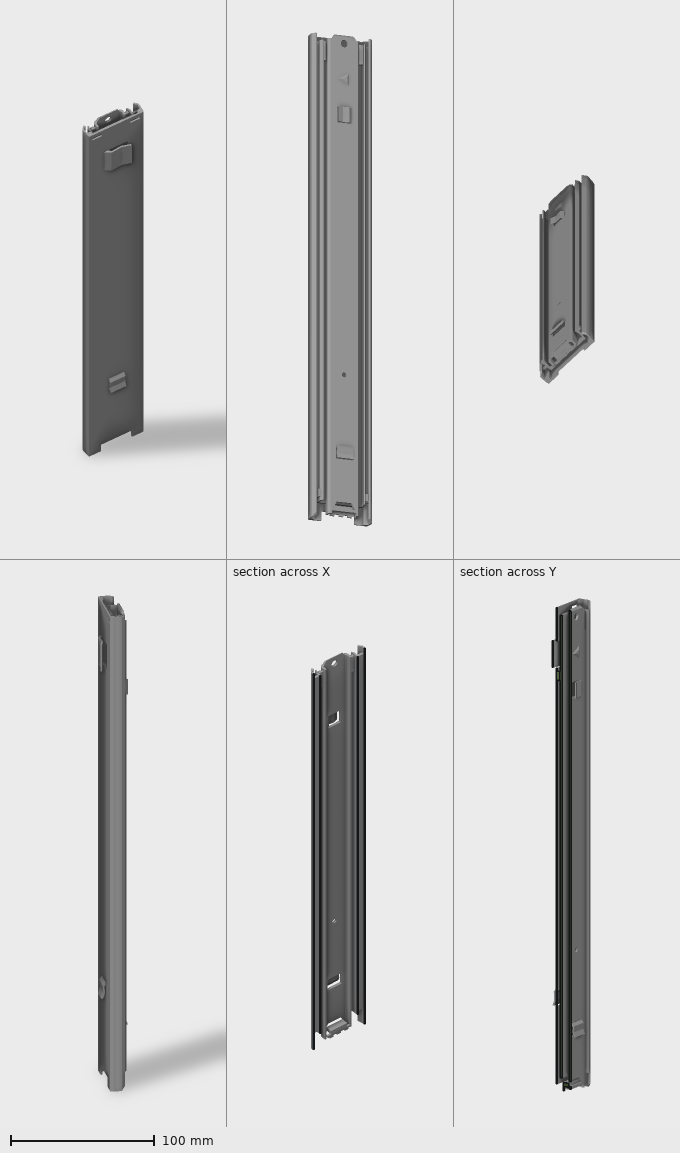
import cadquery as cq

LENGTH = 350.0

OUTER_HALF_WIDTH = 46.0 / 2
OUTER_SHEET = 1.22
OUTER_SIDE = 45.0 / 2
OUTER_INSIDE = 43.0 / 2
OUTER_BACK_EDGE = 22.0
OUTER_CORNER_INSIDE = 18.5
TRACK_START = -4.2
TRACK_END = -8.5
FLARE_END = -2.0
LIP_TIP = (-11.0, 20.3)
LIP_TIP_INSIDE = (-9.8, 19.2)
LIP_BEND_INSIDE = -7.7
LIP_BEVEL = 2.8
BACK_WINDOW_HEIGHT = 2.5
BACK_WINDOW_TOP = -3.0
BACK_WINDOW_Y = (11.5, 19.2)
END_NOTCH_WIDTH = 25.2
END_NOTCH_HEIGHT = 7.0
PAD_WIDTH = 20.3
PAD_HEIGHT = 7.0
PAD_TOP = -45.5

MIDDLE_TOP = -5.0
MIDDLE_BOTTOM = -338.0
MIDDLE_BACK = -3.0
MIDDLE_WEB_FRONT = -5.2
MIDDLE_HALF_WIDTH = 34.5 / 2
MIDDLE_BACK_EDGE = 16.8
MIDDLE_INSIDE = 15.8
MIDDLE_LIP_START = -10.0
MIDDLE_LIP_START_INSIDE = -9.5
MIDDLE_LIP_TIP = (-12.5, 15.8)
MIDDLE_LIP_TIP_INSIDE = (-12.0, 15.0)
STOP_LENGTH = 5.2
STOP_TOP = -330.0
STOP_X = (-11.2, -9.5)
STOP_Y = (16.5, 18.5)

INNER_FRONT = -12.5
INNER_WEB = 1.8
INNER_FLAT = 20.5 / 2
INNER_HALF_WIDTH = 23.5 / 2
INNER_END_WIDTH = 11.5
INNER_CORNER_X = -11.0
INNER_FLANGE_END = -6.5
INNER_INSIDE = 10.0
INNER_INSIDE_CORNER = 0.88
INNER_SHOULDER = -3.0
INNER_BOTTOM = -347.2
TONGUE_TOP_WIDTH = 14.0
TONGUE_ROOT_WIDTH = 18.2
TONGUE_BEVEL = 1.5
TOP_HOLE_DIAMETER = 5.2
TOP_HOLE_Z = -6.3
LOWER_HOLE_DIAMETER = 3.5
LOWER_HOLE_Z = -246.0
END_TAB_WIDTH = 14.0
END_TAB_TOP = -341.0
END_TAB_BOTTOM = -344.0
END_TAB_REACH = -5.5
MOUTH_TOP_WIDTH = 11.2
MOUTH_BOTTOM_WIDTH = 16.0
MOUTH_TOP = -338.5
MOUTH_BOTTOM = -343.0
INNER_NOTCH_WIDTH = 18.2
INNER_NOTCH_HEIGHT = 2.0
COMB_SHEET = 1.5
COMB_WIDTH = 19.5
COMB_GAP_TOP = -345.8
TOOTH_WIDTH = 3.0
TOOTH_PITCH = 6.5
ARROW_POINT = 5.2
ARROW_BASE = -3.5
ARROW_HALF_HEIGHT = 4.5
ARROW_RISE = 1.0
ARROW_TAPER = 55
ARROW_Z = -32.2

HOOK_PLATEAU = 0.7
HOOK_DIP = 0.55
HOOK_PLATEAU_START = 0.2
HOOK_DIP_PLACE = 0.65
HOOK_ROOT_STEP = 0.5
INNER_HOOK_RISE = 3.0
INNER_HOOK_SHEET = 0.88
UPPER_HOOK_WIDTH = 11.2
UPPER_HOOK_RUN = 10.5
UPPER_HOOK_Z = -58.0
LOWER_HOOK_WIDTH = 12.2
LOWER_HOOK_RUN = 9.8
LOWER_HOOK_TOP = -297.5
BACK_HOOK_RISE = 4.5
BACK_HOOK_WIDTH = 19.5
BACK_HOOK_RUN = 19.5
BACK_HOOK_Z = -34.0
LATCH_RISE = 3.0
LATCH_WIDTH = 12.2
LATCH_RUN = 12.5
LATCH_TOP = -274.5

OUTER_CAGE_TOP = -5.2
OUTER_CAGE_BOTTOM = -335.3
OUTER_CAGE_X = (-7.7, -6.0)
INNER_CAGE_TOP = -5.2
INNER_CAGE_BOTTOM = -19.2
INNER_CAGE_X = (-10.5, -8.0)
INNER_CAGE_BEVEL = 1.5

CUT_MARGIN = 1.8


def block(x_range, y_range, z_range):
    size = [high - low for low, high in (x_range, y_range, z_range)]
    return cq.Workplane("XY").box(*size, centered=False).translate((x_range[0], y_range[0], z_range[0]))


def centred(width):
    return (-width / 2, width / 2)


def both_sides(half):
    """Join a shape on the +Y side with its mirror image."""
    return half.union(half.mirror("XZ"))


def hook(rise, run, width, sheet):
    """Sheet hook rising along +X from the YZ plane, rooted at Z = 0 and reaching down to Z = -run."""
    plateau = HOOK_PLATEAU * rise
    dip = HOOK_DIP * rise
    dip_z = -HOOK_DIP_PLACE * run
    outer_face = [(HOOK_ROOT_STEP, 0), (plateau, -HOOK_PLATEAU_START * run), (dip, dip_z), (rise, -run)]
    inner_face = [(x - sheet, z - sheet) for x, z in outer_face[:2]]
    inner_face += [(dip - sheet, dip_z), (rise - sheet, -run)]
    return (
        cq.Workplane("XZ").polyline(outer_face + inner_face[::-1]).close()
        .extrude(width / 2, both=True)
    )


def sideways(shape):
    """Turn a hook about X so that it runs from its root toward +Y."""
    return shape.rotate((0, 0, 0), (1, 0, 0), 90)


def make_outer_rail():
    half = (
        cq.Workplane("XY").moveTo(0, 0)
        .lineTo(0, OUTER_BACK_EDGE)
        .lineTo(FLARE_END, OUTER_SIDE)
        .lineTo(TRACK_START, OUTER_SIDE)
        .threePointArc(((TRACK_START + TRACK_END) / 2, OUTER_HALF_WIDTH), (TRACK_END, OUTER_SIDE))
        .lineTo(*LIP_TIP)
        .lineTo(*LIP_TIP_INSIDE)
        .lineTo(LIP_BEND_INSIDE, OUTER_INSIDE)
        .lineTo(TRACK_START, OUTER_INSIDE)
        .lineTo(MIDDLE_BACK, OUTER_CORNER_INSIDE)
        .lineTo(-OUTER_SHEET, OUTER_CORNER_INSIDE)
        .lineTo(-OUTER_SHEET, 0)
        .close()
        .extrude(-LENGTH)
    )
    bevel = (
        cq.Workplane("XZ")
        .polyline([
            (LIP_TIP[0], -LENGTH),
            (LIP_TIP[0] + LIP_BEVEL, -LENGTH),
            (LIP_TIP[0], -LENGTH + LIP_BEVEL),
        ])
        .close()
        .extrude(-OUTER_HALF_WIDTH)
    )
    plate = (TRACK_START, CUT_MARGIN)
    window_z = (BACK_WINDOW_TOP - BACK_WINDOW_HEIGHT, BACK_WINDOW_TOP)
    half = half.cut(bevel).cut(block(plate, BACK_WINDOW_Y, window_z))
    rail = both_sides(half)
    rail = rail.cut(block(plate, centred(END_NOTCH_WIDTH), (-LENGTH, -LENGTH + END_NOTCH_HEIGHT)))

    pad = block((MIDDLE_BACK, -OUTER_SHEET), centred(PAD_WIDTH), (PAD_TOP - PAD_HEIGHT, PAD_TOP))
    rail = rail.union(pad)

    back_hook_z = (BACK_HOOK_Z - BACK_HOOK_WIDTH / 2, BACK_HOOK_Z + BACK_HOOK_WIDTH / 2)
    rail = rail.cut(block(plate, centred(BACK_HOOK_RUN), back_hook_z))
    rail = rail.cut(block(plate, centred(LATCH_WIDTH), (LATCH_TOP - LATCH_RUN, LATCH_TOP)))
    back_hook = sideways(hook(BACK_HOOK_RISE, BACK_HOOK_RUN, BACK_HOOK_WIDTH, OUTER_SHEET))
    rail = rail.union(back_hook.translate((0, -BACK_HOOK_RUN / 2, BACK_HOOK_Z)))
    latch = hook(LATCH_RISE, LATCH_RUN, LATCH_WIDTH, OUTER_SHEET)
    return rail.union(latch.translate((0, 0, LATCH_TOP)))


def make_intermediate_rail():
    half = (
        cq.Workplane("XY").workplane(offset=MIDDLE_TOP)
        .polyline([
            (MIDDLE_BACK, 0),
            (MIDDLE_BACK, MIDDLE_BACK_EDGE),
            (MIDDLE_LIP_START, MIDDLE_HALF_WIDTH),
            MIDDLE_LIP_TIP,
            MIDDLE_LIP_TIP_INSIDE,
            (MIDDLE_LIP_START_INSIDE, MIDDLE_INSIDE),
            (MIDDLE_WEB_FRONT, MIDDLE_INSIDE),
            (MIDDLE_WEB_FRONT, 0),
        ])
        .close()
        .extrude(MIDDLE_BOTTOM - MIDDLE_TOP)
    )
    stop = block(STOP_X, STOP_Y, (STOP_TOP - STOP_LENGTH, STOP_TOP))
    return both_sides(half.union(stop))


def inner_profile():
    web_back = INNER_FRONT + INNER_WEB
    half = (
        cq.Workplane("XY")
        .polyline([
            (INNER_FRONT, 0),
            (INNER_FRONT, INNER_FLAT),
            (INNER_CORNER_X, INNER_HALF_WIDTH),
            (INNER_FLANGE_END, INNER_END_WIDTH),
            (INNER_FLANGE_END, INNER_INSIDE),
            (web_back + INNER_INSIDE_CORNER, INNER_INSIDE),
            (web_back, INNER_INSIDE - INNER_INSIDE_CORNER),
            (web_back, 0),
        ])
        .close()
        .extrude(INNER_BOTTOM)
    )
    return both_sides(half)


def make_inner_rail():
    web = (INNER_FRONT - CUT_MARGIN, INNER_FRONT + INNER_WEB + CUT_MARGIN)
    rail = inner_profile()

    above_shoulder = block(
        (INNER_FRONT, INNER_FLANGE_END), centred(2 * INNER_HALF_WIDTH), (INNER_SHOULDER, 0)
    )
    tongue = (
        cq.Workplane("YZ").workplane(offset=INNER_FRONT)
        .polyline([
            (-TONGUE_ROOT_WIDTH / 2, INNER_SHOULDER),
            (-TONGUE_TOP_WIDTH / 2, 0),
            (TONGUE_TOP_WIDTH / 2, 0),
            (TONGUE_ROOT_WIDTH / 2, INNER_SHOULDER),
        ])
        .close()
        .extrude(INNER_WEB)
        .faces(">Z").edges("<X").chamfer(TONGUE_BEVEL)
    )
    rail = rail.cut(above_shoulder).union(tongue)

    for diameter, z in ((TOP_HOLE_DIAMETER, TOP_HOLE_Z), (LOWER_HOLE_DIAMETER, LOWER_HOLE_Z)):
        drill = cq.Workplane("YZ").workplane(offset=web[0]).center(0, z).circle(diameter / 2)
        rail = rail.cut(drill.extrude(web[1] - web[0]))

    arrow = (
        cq.Workplane("YZ").workplane(offset=INNER_FRONT).center(0, ARROW_Z)
        .polyline([
            (ARROW_POINT, 0), (ARROW_BASE, ARROW_HALF_HEIGHT), (ARROW_BASE, -ARROW_HALF_HEIGHT),
        ])
        .close()
        .extrude(-ARROW_RISE, taper=ARROW_TAPER)
    )
    rail = rail.union(arrow)

    mouth = (
        cq.Workplane("YZ").workplane(offset=web[0])
        .polyline([
            (-MOUTH_BOTTOM_WIDTH / 2, MOUTH_BOTTOM),
            (-MOUTH_TOP_WIDTH / 2, MOUTH_TOP),
            (MOUTH_TOP_WIDTH / 2, MOUTH_TOP),
            (MOUTH_BOTTOM_WIDTH / 2, MOUTH_BOTTOM),
        ])
        .close()
        .extrude(web[1] - web[0])
    )
    tab_x = (INNER_FRONT + INNER_WEB, END_TAB_REACH)
    tab = block(tab_x, centred(END_TAB_WIDTH), (END_TAB_BOTTOM, END_TAB_TOP))
    notch = block(web, centred(INNER_NOTCH_WIDTH), (INNER_BOTTOM, INNER_BOTTOM + INNER_NOTCH_HEIGHT))
    rail = rail.cut(mouth).cut(notch).union(tab)

    comb_x = (END_TAB_REACH - COMB_SHEET, END_TAB_REACH)
    rail = rail.union(block(comb_x, centred(COMB_WIDTH), (COMB_GAP_TOP, END_TAB_BOTTOM)))
    for place in (-1, 0, 1):
        tooth = block(comb_x, centred(TOOTH_WIDTH), (INNER_BOTTOM, COMB_GAP_TOP))
        rail = rail.union(tooth.translate((0, place * TOOTH_PITCH, 0)))

    upper_z = (UPPER_HOOK_Z - UPPER_HOOK_WIDTH / 2, UPPER_HOOK_Z + UPPER_HOOK_WIDTH / 2)
    rail = rail.cut(block(web, centred(UPPER_HOOK_RUN), upper_z))
    rail = rail.cut(block(web, centred(LOWER_HOOK_WIDTH), (LOWER_HOOK_TOP - LOWER_HOOK_RUN, LOWER_HOOK_TOP)))
    upper = sideways(hook(INNER_HOOK_RISE, UPPER_HOOK_RUN, UPPER_HOOK_WIDTH, INNER_HOOK_SHEET))
    upper = upper.mirror("YZ").translate((INNER_FRONT, -UPPER_HOOK_RUN / 2, UPPER_HOOK_Z))
    lower = hook(INNER_HOOK_RISE, LOWER_HOOK_RUN, LOWER_HOOK_WIDTH, INNER_HOOK_SHEET)
    lower = lower.mirror("YZ").translate((INNER_FRONT, 0, LOWER_HOOK_TOP))
    return rail.union(upper).union(lower)


def make_outer_cage():
    """Strip between the outer and intermediate rails on the +Y side."""
    return block(OUTER_CAGE_X, (MIDDLE_HALF_WIDTH, OUTER_INSIDE), (OUTER_CAGE_BOTTOM, OUTER_CAGE_TOP))


def make_inner_cage():
    """Short block between the intermediate and inner rails on the +Y side."""
    cage_z = (INNER_CAGE_BOTTOM, INNER_CAGE_TOP)
    cage = block(INNER_CAGE_X, (INNER_HALF_WIDTH, MIDDLE_LIP_TIP_INSIDE[1]), cage_z)
    return cage.edges("|Z and <X and <Y").chamfer(INNER_CAGE_BEVEL)


outer_rail = make_outer_rail()
intermediate_rail = make_intermediate_rail()
inner_rail = make_inner_rail()

cages = []
for cage in (make_outer_cage(), make_inner_cage()):
    cages += [cage.val(), cage.mirror("XZ").val()]

result = cq.Compound.makeCompound([outer_rail.val(), intermediate_rail.val(), inner_rail.val(), *cages])